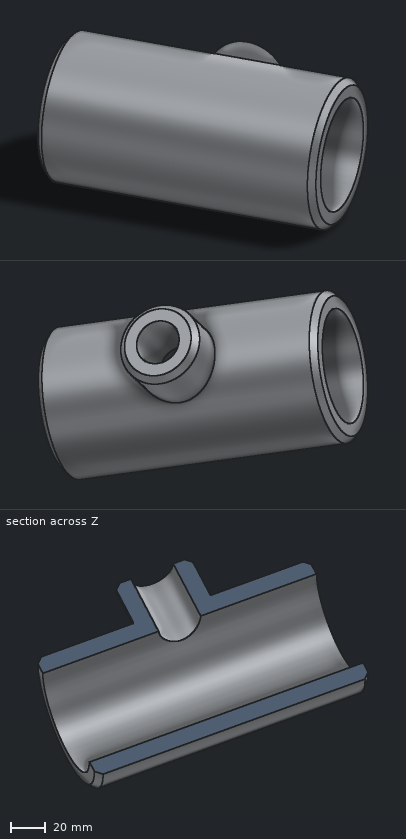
import cadquery as cq

run_length = 171.7
run_diameter = 89.0
wall = 11.2
run_bore = run_diameter - 2 * wall

overall_width = 117.6
branch_diameter = 48.5
branch_bore = branch_diameter - 2 * wall
branch_reach = overall_width - run_diameter / 2

bevel = 3.8


def run_cylinder(diameter):
    """Cylinder along X, centred on the origin."""
    return cq.Workplane("YZ").circle(diameter / 2).extrude(run_length / 2, both=True)


def branch_cylinder(diameter):
    """Cylinder from the run axis out to the branch end."""
    return cq.Workplane("XZ").circle(diameter / 2).extrude(-branch_reach)


run = run_cylinder(run_diameter).faces("<X or >X").chamfer(bevel)
branch = branch_cylinder(branch_diameter).faces(">Y").chamfer(bevel)

result = run.union(branch).cut(run_cylinder(run_bore)).cut(branch_cylinder(branch_bore))